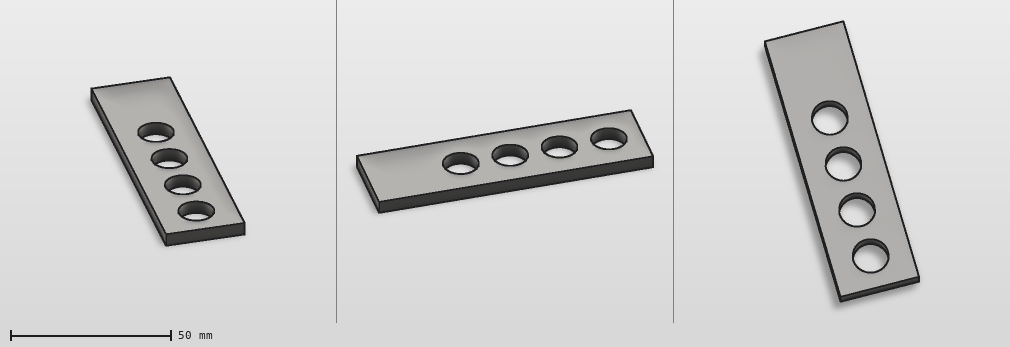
import cadquery as cq

length = 88.9
width = 25.4
thickness = 4.3

hole_diameter = 11.2
hole_count = 4
hole_pitch = 16.0
end_to_hole_centre = 10.8

last_hole_x = length / 2 - end_to_hole_centre
hole_centres = [(last_hole_x - i * hole_pitch, 0) for i in range(hole_count)]

bar = cq.Workplane("XY").box(length, width, thickness)

result = bar.faces(">Z").workplane().pushPoints(hole_centres).hole(hole_diameter)